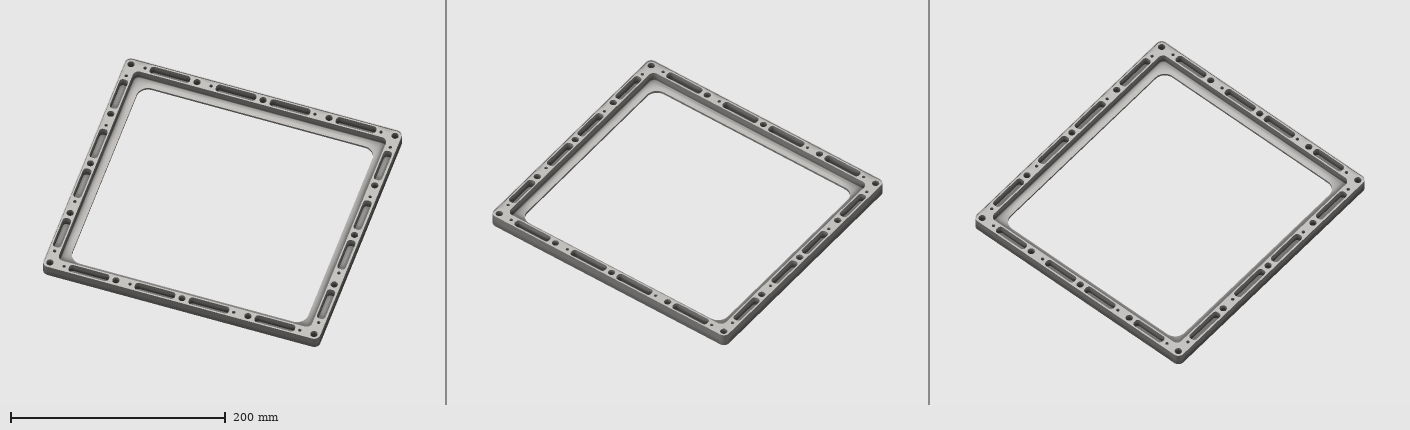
import cadquery as cq

length = 272.0
width = 252.0
height = 13.0
corner_radius = 6.0
lip_width = 0.8
lip_height = 1.0
rim_top = height - lip_height

rim_width = 11.7
recess_radius = 5.5
base_fillet = 1.0
ledge_thickness = 2.5
window_inset = 20.0
window_radius = 11.2

hole_inset = 6.3
bays_per_side = 4
through_diameter = 6.8
blind_diameter = 3.3
blind_hole_offset = 14.0
slot_width = 8.2
slot_corner_radius = 3.3
slot_length_x = 39.5
slot_length_y = 34.8
slot_gap_x = 6.8
slot_gap_y = 6.5
pocket_depth = rim_top - ledge_thickness

hole_x = length / 2 - hole_inset
hole_y = width / 2 - hole_inset
pitch_x = 2 * hole_x / bays_per_side
pitch_y = 2 * hole_y / bays_per_side


def rounded_block(size_x, size_y, radius, bottom, top):
    """Upright block centred on the Z axis with rounded vertical edges."""
    block = cq.Workplane("XY").workplane(offset=bottom).rect(size_x, size_y).extrude(top - bottom)
    return block.edges("|Z").fillet(radius)


def mirrored_offsets(end, pitch, offset):
    """Distances along a side, one per bay, measured inwards from each bay's outer end."""
    inward = [end - bay * pitch - offset for bay in range(bays_per_side // 2)]
    return [sign * place for place in inward for sign in (-1, 1)]


def rim_points(places_x, places_y):
    """Points on the hole line of all four sides."""
    along_x = [(x, side * hole_y) for x in places_x for side in (-1, 1)]
    along_y = [(side * hole_x, y) for y in places_y for side in (-1, 1)]
    return along_x + along_y


def inset_block(inset, radius, bottom, top):
    """Rounded block whose sides lie a given distance inside the outer sides."""
    return rounded_block(length - 2 * inset, width - 2 * inset, radius, bottom, top)


def make_frame():
    """Rim with a lip along its outer side and a ledge around the window."""
    body = inset_block(0, corner_radius, 0, height)
    lip_inside = inset_block(lip_width, corner_radius - lip_width, rim_top, height)
    recess = inset_block(rim_width, recess_radius, ledge_thickness, height)
    recess = recess.faces("<Z").edges().fillet(base_fillet)
    window = inset_block(window_inset, window_radius, 0, height)
    return body.cut(lip_inside).cut(recess).cut(window)


def through_holes():
    """Evenly spaced holes through the rim, with one in each corner."""
    places_x = [-hole_x + i * pitch_x for i in range(bays_per_side + 1)]
    places_y = [-hole_y + i * pitch_y for i in range(1, bays_per_side)]
    points = rim_points(places_x, places_y)
    return cq.Workplane("XY").pushPoints(points).circle(through_diameter / 2).extrude(height)


def blind_holes():
    """Small holes beside the slots, ending level with the ledge."""
    points = rim_points(mirrored_offsets(hole_x, pitch_x, blind_hole_offset),
                        mirrored_offsets(hole_y, pitch_y, blind_hole_offset))
    plane = cq.Workplane("XY").workplane(offset=rim_top)
    return plane.pushPoints(points).circle(blind_diameter / 2).extrude(-pocket_depth)


def slot_pockets(points, size_x, size_y):
    """Pockets with rounded corners, sunk from the rim top."""
    plane = cq.Workplane("XY").workplane(offset=rim_top)
    pockets = plane.pushPoints(points).rect(size_x, size_y).extrude(-pocket_depth)
    return pockets.edges("|Z").fillet(slot_corner_radius)


def all_slots():
    """Blind slots, one in every bay of every side."""
    centres_x = mirrored_offsets(hole_x, pitch_x, pitch_x - slot_gap_x - slot_length_x / 2)
    centres_y = mirrored_offsets(hole_y, pitch_y, pitch_y - slot_gap_y - slot_length_y / 2)
    slots_x = slot_pockets(rim_points(centres_x, []), slot_length_x, slot_width)
    slots_y = slot_pockets(rim_points([], centres_y), slot_width, slot_length_y)
    return slots_x.add(slots_y).combine()


result = make_frame().cut(through_holes()).cut(blind_holes()).cut(all_slots())